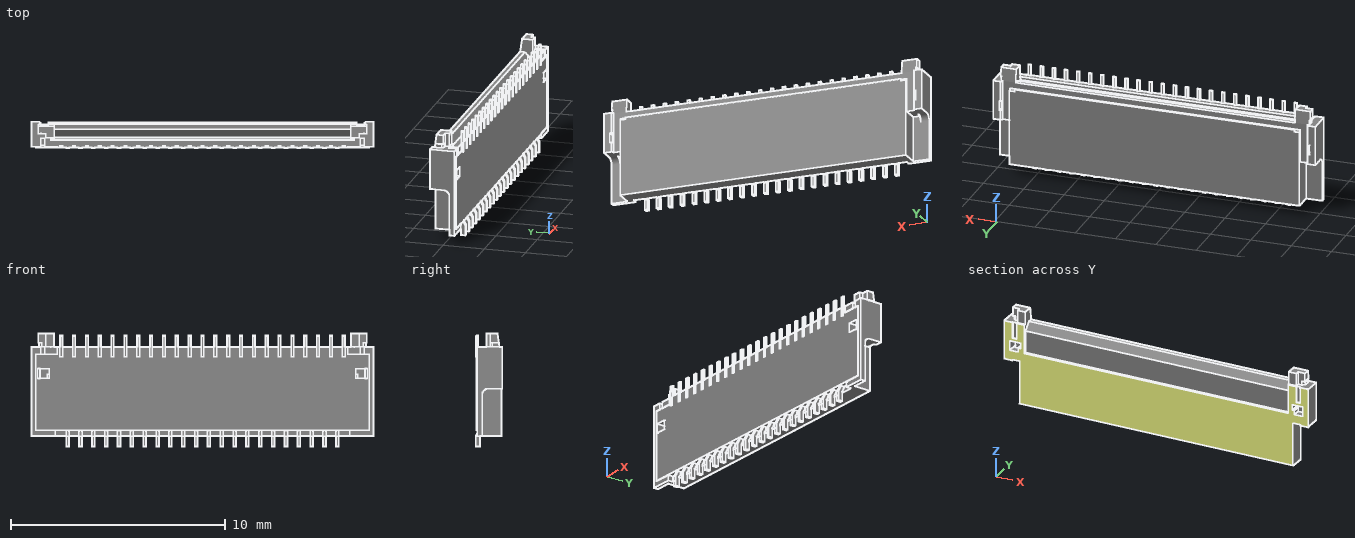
import cadquery as cq

LENGTH = 16.0
DEPTH = 1.25
BODY_HEIGHT = 4.16
HALF_LENGTH = LENGTH / 2

BODY_FRONT = 0.06
PLATE_BACK = 0.3
CORE_BACK = 1.22
CORE_INSET = 0.8
CORE_BEVEL_LENGTH = 0.25
RIDGE_BACK = 1.12
RIDGE_DROP = 0.32
RIDGE_INSET = 0.3
END_BLOCK_BOTTOM = 2.2
END_BLOCK_FILLET = 0.29
END_BLOCK_WIDTH = 0.43
END_BLOCK_CHAMFER = 0.06

PANEL_FRONT = 0.03
PANEL_INSET = 0.2
PANEL_BOTTOM = 0.27
PANEL_NOTCH_END = 1.22
PANEL_NOTCH_DROP = 0.34

RELIEF_INSET = 1.12
RELIEF_BACK = 0.32

SLOT_INSET = 1.07
SLOT_FRONT = 0.38
SLOT_LEDGE = 0.05
SLOT_LEDGE_INSET = 0.91
SLOT_LEDGE_DROP = 0.16
SLOT_WIDTH = 0.15
SLOT_FLOOR = 2.69
SLOT_RAMP_BACK = 0.88
SLOT_RAMP_DROP = SLOT_RAMP_BACK - SLOT_FRONT - SLOT_WIDTH

WINDOW_INSET = 0.3
WINDOW_WIDTH = 0.55
WINDOW_BOTTOM = 2.69
WINDOW_HEIGHT = 0.46
WINDOW_BACK = 0.8
WINDOW_GAP = 0.1
WINDOW_STOP_WIDTH = 0.11
WINDOW_STOP_HEIGHT = 0.2

GROOVE_INSET = 0.45
GROOVE_WIDTH = 0.2
GROOVE_POCKET_FRONT = 0.15
GROOVE_BACK = 0.46
GROOVE_POCKET_DROP = 0.48

TAB_INSET = 0.32
TAB_STEP = 0.67
TAB_FRONT = 0.5
TAB_MID = 0.69
TAB_BACK_BOTTOM = 1.12
TAB_BACK_TOP = 1.02
TAB_HEIGHT = 0.64
TAB_UNDERCUT_HEIGHT = 0.2
TAB_UNDERCUT = 0.03
TAB_CORNER_X = 0.16
TAB_CORNER_Y = 0.1

PIN_PITCH = 0.6
TOP_PIN_COUNT = 23
TOP_PIN_WIDTH = 0.13
TOP_PIN_FRONT = 0.02
TOP_PIN_BACK = 0.11
TOP_PIN_RISE = 0.55
TOP_PIN_OVERLAP = 0.45
TOP_PIN_BEVEL = 0.03
SOLDER_PIN_COUNT = 22
SOLDER_PIN_WIDTH = 0.15
SOLDER_PIN_BACK = 0.2
SOLDER_PIN_DROP = 0.5
SOLDER_PIN_LEAN = 0.15


def block(x0, x1, y0, y1, z0, z1):
    """Box given by its limits along each axis."""
    return cq.Workplane("XY").box(x1 - x0, y1 - y0, z1 - z0, centered=False).translate((x0, y0, z0))


def bar_between(profile, x0, x1):
    """Extrude a (y, z) outline from x0 to x1."""
    return cq.Workplane("YZ").workplane(offset=x0).polyline(profile).close().extrude(x1 - x0)


def end_block(block_left):
    """Full-depth block at the left end, with a fillet where it meets the thin lower plate."""
    outer = (
        block(block_left, block_left + END_BLOCK_WIDTH, BODY_FRONT, DEPTH, 0, BODY_HEIGHT)
        .edges("|Z and >Y and >X")
        .chamfer(END_BLOCK_CHAMFER)
    )
    below = (
        block(block_left, block_left + END_BLOCK_WIDTH, PLATE_BACK, DEPTH, 0, END_BLOCK_BOTTOM)
        .edges("|X and >Z and <Y")
        .fillet(END_BLOCK_FILLET)
    )
    return outer.cut(below)


def housing():
    """Thin front plate, deeper core with bevelled back corners, and the two end blocks."""
    plate = block(-HALF_LENGTH, HALF_LENGTH, BODY_FRONT, PLATE_BACK, 0, BODY_HEIGHT)
    core_end = HALF_LENGTH - CORE_INSET
    core_top = BODY_HEIGHT - RIDGE_DROP
    core = block(-core_end, core_end, BODY_FRONT, CORE_BACK, 0, core_top)
    bevel_drop = CORE_BACK - RIDGE_BACK
    bevel = bar_between(
        [(RIDGE_BACK, core_top), (CORE_BACK, core_top), (CORE_BACK, core_top - bevel_drop)],
        -core_end,
        CORE_BEVEL_LENGTH - core_end,
    )
    core = core.cut(bevel).cut(bevel.mirror("YZ"))
    ridge_end = HALF_LENGTH - RIDGE_INSET
    ridge = block(-ridge_end, ridge_end, BODY_FRONT, RIDGE_BACK, END_BLOCK_BOTTOM, BODY_HEIGHT)
    left_end = end_block(-HALF_LENGTH)
    return plate.union(core).union(ridge).union(left_end).union(left_end.mirror("YZ"))


def front_panel():
    """Raised panel on the front face, notched at its two top corners."""
    half_width = HALF_LENGTH - PANEL_INSET
    half_top = HALF_LENGTH - PANEL_NOTCH_END
    shoulder = BODY_HEIGHT - PANEL_NOTCH_DROP
    panel = block(-half_width, half_width, PANEL_FRONT, BODY_FRONT, PANEL_BOTTOM, shoulder)
    return panel.union(block(-half_top, half_top, PANEL_FRONT, BODY_FRONT, PANEL_BOTTOM, BODY_HEIGHT))


def underside_relief():
    """Shallow relief along the lower front edge, around the solder pins."""
    half_width = HALF_LENGTH - RELIEF_INSET
    return block(-half_width, half_width, 0, RELIEF_BACK, 0, PANEL_BOTTOM)


def card_slot():
    """Narrow slot with a small front ledge and a 45 degree lead-in ramp behind it."""
    half_width = HALF_LENGTH - SLOT_INSET
    slot_back = SLOT_FRONT + SLOT_WIDTH
    ledge_back = SLOT_FRONT + SLOT_LEDGE
    half_ledge = HALF_LENGTH - SLOT_LEDGE_INSET
    ledge = block(-half_ledge, half_ledge, SLOT_FRONT, ledge_back, BODY_HEIGHT - SLOT_LEDGE_DROP, BODY_HEIGHT)
    profile = [
        (ledge_back, BODY_HEIGHT),
        (ledge_back, SLOT_FLOOR),
        (slot_back, SLOT_FLOOR),
        (slot_back, BODY_HEIGHT - SLOT_RAMP_DROP),
        (SLOT_RAMP_BACK, BODY_HEIGHT),
    ]
    return bar_between(profile, -half_width, half_width).union(ledge)


def window():
    """Left window: a blind pocket with a corner stop, open to the back along its outer side."""
    left = WINDOW_INSET - HALF_LENGTH
    right = left + WINDOW_WIDTH
    top = WINDOW_BOTTOM + WINDOW_HEIGHT
    pocket = block(left, right, 0, WINDOW_BACK, WINDOW_BOTTOM, top)
    stop_top = WINDOW_BOTTOM + WINDOW_STOP_HEIGHT
    stop = block(right - WINDOW_STOP_WIDTH, right, SLOT_FRONT, WINDOW_BACK, WINDOW_BOTTOM, stop_top)
    gap = block(left, left + WINDOW_GAP, 0, DEPTH, WINDOW_BOTTOM, top)
    return pocket.cut(stop).union(gap)


def corner_groove():
    """Left top groove: open to the front, with a deeper pocket behind."""
    left = GROOVE_INSET - HALF_LENGTH
    right = left + GROOVE_WIDTH
    floor = BODY_HEIGHT - PANEL_NOTCH_DROP
    channel = block(left, right, 0, GROOVE_BACK, floor, BODY_HEIGHT)
    pocket = block(left, right, GROOVE_POCKET_FRONT, GROOVE_BACK, floor - GROOVE_POCKET_DROP, floor)
    return channel.union(pocket)


def lock_tab():
    """Left tab: stepped front, leaning back face, and an undercut foot with a bevelled corner."""
    left = TAB_INSET - HALF_LENGTH
    step = TAB_STEP - HALF_LENGTH
    right = SLOT_INSET - HALF_LENGTH
    foot_top = BODY_HEIGHT + TAB_UNDERCUT_HEIGHT
    foot_left = left + TAB_UNDERCUT
    head_outline = [
        (left, TAB_MID),
        (step, TAB_MID),
        (step, TAB_FRONT),
        (right, TAB_FRONT),
        (right, TAB_BACK_BOTTOM),
        (left, TAB_BACK_BOTTOM),
    ]
    foot_outline = [
        (foot_left, TAB_MID + TAB_CORNER_Y),
        (left + TAB_CORNER_X, TAB_MID),
        *head_outline[1:5],
        (foot_left, TAB_BACK_BOTTOM),
    ]
    head = cq.Workplane("XY").workplane(offset=foot_top).polyline(head_outline).close()
    head = head.extrude(TAB_HEIGHT - TAB_UNDERCUT_HEIGHT)
    foot = cq.Workplane("XY").workplane(offset=BODY_HEIGHT).polyline(foot_outline).close()
    foot = foot.extrude(TAB_UNDERCUT_HEIGHT)
    back_lean = bar_between(
        [
            (TAB_BACK_BOTTOM, BODY_HEIGHT),
            (TAB_BACK_BOTTOM, BODY_HEIGHT + TAB_HEIGHT),
            (TAB_BACK_TOP, BODY_HEIGHT + TAB_HEIGHT),
        ],
        left,
        right,
    )
    return head.union(foot).cut(back_lean)


def pin_row(profile, count, width):
    """Row of equal pins, centred along X, each extruded from one (y, z) outline."""
    pins = cq.Workplane("XY")
    pin = bar_between(profile, -width / 2, width / 2)
    for index in range(count):
        pins = pins.add(pin.translate(((index - (count - 1) / 2) * PIN_PITCH, 0, 0)))
    return pins.combine()


def top_pins():
    """Straight pins rising from the front panel, bevelled at the tip."""
    tip = BODY_HEIGHT + TOP_PIN_RISE
    foot = BODY_HEIGHT - TOP_PIN_OVERLAP
    profile = [
        (TOP_PIN_FRONT, foot),
        (TOP_PIN_BACK, foot),
        (TOP_PIN_BACK, tip),
        (TOP_PIN_FRONT + TOP_PIN_BEVEL, tip),
        (TOP_PIN_FRONT, tip - TOP_PIN_BEVEL),
    ]
    return pin_row(profile, TOP_PIN_COUNT, TOP_PIN_WIDTH)


def solder_pins():
    """Pins hanging from the underside relief, leaning back where they meet the housing."""
    profile = [
        (0, -SOLDER_PIN_DROP),
        (SOLDER_PIN_BACK, -SOLDER_PIN_DROP),
        (SOLDER_PIN_BACK, 0),
        (SOLDER_PIN_BACK + SOLDER_PIN_LEAN, PANEL_BOTTOM),
        (SOLDER_PIN_LEAN, PANEL_BOTTOM),
        (0, 0),
    ]
    return pin_row(profile, SOLDER_PIN_COUNT, SOLDER_PIN_WIDTH)


result = housing().union(front_panel()).cut(underside_relief()).cut(card_slot())
for cutter in (window(), corner_groove()):
    result = result.cut(cutter).cut(cutter.mirror("YZ"))
tab = lock_tab()
result = result.union(tab).union(tab.mirror("YZ"))
result = result.union(top_pins()).union(solder_pins())